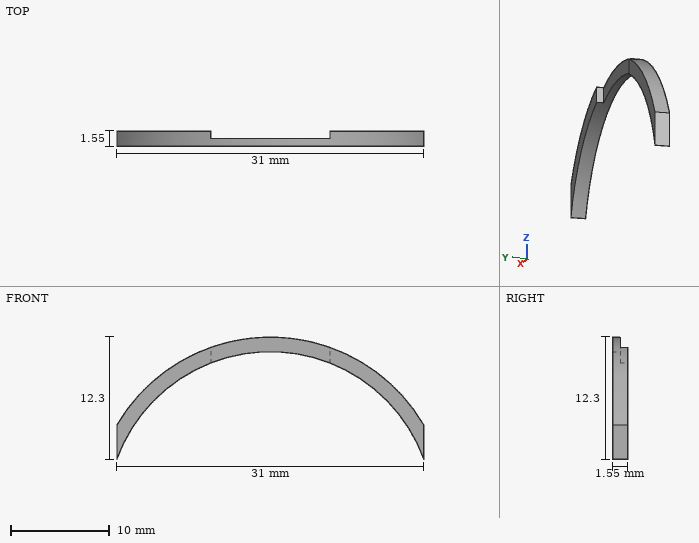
import cadquery as cq

span = 31.0
width = 1.55
outer_radius = 17.98
inner_radius = 16.5
notch_length = 12.03
notch_depth = 0.75

ring = (
    cq.Workplane("XZ")
    .circle(outer_radius)
    .circle(inner_radius)
    .extrude(-width)
)

envelope = cq.Workplane("XY").box(span, width, outer_radius, centered=(True, False, False))
arch = ring.intersect(envelope)

notch = (
    cq.Workplane("XY")
    .box(notch_length, notch_depth, outer_radius, centered=(True, False, False))
    .translate((0, width - notch_depth, 0))
)

result = arch.cut(notch)